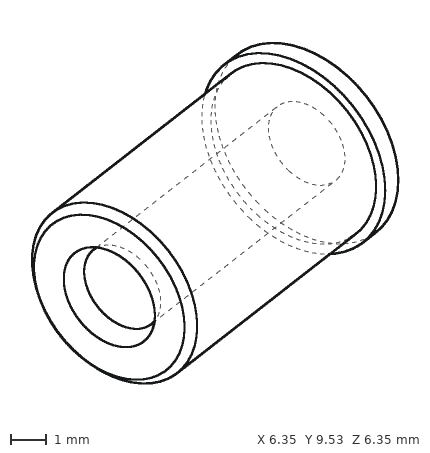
import cadquery as cq

flange_diameter = 6.35
overall_length = 9.525
flange_thickness = 0.635
body_diameter = 5.72
body_chamfer = 0.254
bore_diameter = 2.65

lead_in_width = 0.254
lead_in_depth = 0.635

flange_radius = flange_diameter / 2
body_radius = body_diameter / 2
bore_radius = bore_diameter / 2
lead_in_radius = bore_radius + lead_in_width
flange_start = overall_length - flange_thickness


def make_bushing():
    """Revolve the half section (radius along X, length along Y) about the Y axis."""
    half_section = (
        cq.Workplane("XY")
        .moveTo(lead_in_radius, 0)
        .lineTo(body_radius - body_chamfer, 0)
        .lineTo(body_radius, body_chamfer)
        .lineTo(body_radius, flange_start)
        .lineTo(flange_radius, flange_start)
        .lineTo(flange_radius, overall_length)
        .lineTo(bore_radius, overall_length)
        .lineTo(bore_radius, lead_in_depth)
        .close()
    )
    return half_section.revolve(360, (0, 0, 0), (0, 1, 0))


result = make_bushing()